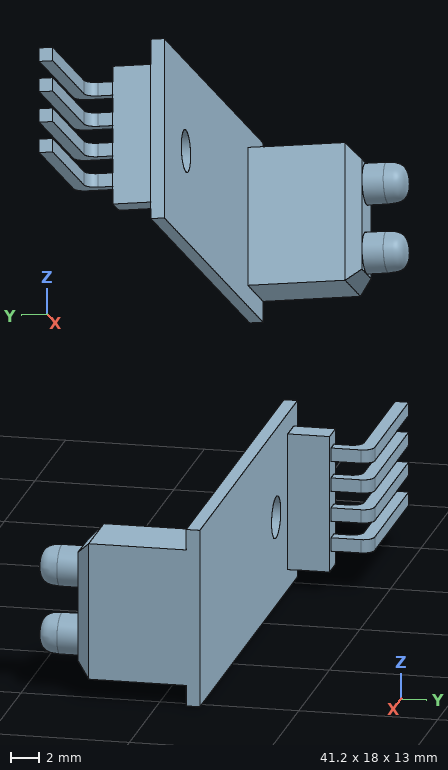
import cadquery as cq

BOARD_LENGTH = 32.0
BOARD_HEIGHT = 13.0
BOARD_THICKNESS = 1.0
HOLE_DIAMETER = 3.0
HOLE_FROM_LEFT = 7.0

HEADER_WIDTH = 2.0
HEADER_DEPTH = 3.0
HEADER_FROM_LEFT = 1.25
BLOCK_HEIGHT = 10.0

PIN_COUNT = 4
PIN_SIZE = 1.0
PIN_ROW_SPAN = 6.6
PIN_PITCH = PIN_ROW_SPAN / (PIN_COUNT - 1)
PIN_ROW_CENTER_Z = 0.2
PIN_RISE = 2.95
PIN_OVERHANG = 9.25
PIN_BEND_RADIUS = 0.82

HOUSING_WIDTH = 5.0
HOUSING_DEPTH = 8.0
HOUSING_CHAMFER = 1.0
LAMP_DIAMETER = 2.95
LAMP_LENGTH = 3.0
DOME_FULLNESS = 0.75
LAMP_SPACING = 5.0

header_back = BOARD_THICKNESS + HEADER_DEPTH
header_center_x = HEADER_FROM_LEFT + HEADER_WIDTH / 2
housing_center_x = BOARD_LENGTH - HOUSING_WIDTH / 2


def make_board():
    board = cq.Workplane("XY").box(
        BOARD_LENGTH, BOARD_THICKNESS, BOARD_HEIGHT, centered=(False, False, True)
    )
    hole = (
        cq.Workplane("XZ")
        .center(HOLE_FROM_LEFT, 0)
        .circle(HOLE_DIAMETER / 2)
        .extrude(-BOARD_THICKNESS)
    )
    return board.cut(hole)


def make_header():
    return (
        cq.Workplane("XY")
        .box(HEADER_WIDTH, HEADER_DEPTH, BLOCK_HEIGHT, centered=(True, False, True))
        .translate((header_center_x, BOARD_THICKNESS, 0))
    )


def make_pin(center_z):
    """L-shaped pin that leaves the header backward and turns toward -X."""
    right = header_center_x + PIN_SIZE / 2
    left = right - PIN_SIZE
    back = header_back + PIN_RISE
    margin = PIN_SIZE / 2
    bend_corners = cq.selectors.BoxSelector(
        (left - margin, back - PIN_SIZE - margin, center_z - margin),
        (right + margin, back + margin, center_z + margin),
    )
    return (
        cq.Workplane("XY", origin=(0, 0, center_z - PIN_SIZE / 2))
        .moveTo(right, header_back)
        .lineTo(right, back)
        .lineTo(-PIN_OVERHANG, back)
        .lineTo(-PIN_OVERHANG, back - PIN_SIZE)
        .lineTo(left, back - PIN_SIZE)
        .lineTo(left, header_back)
        .close()
        .extrude(PIN_SIZE)
        .edges(bend_corners)
        .edges("|Z")
        .fillet(PIN_BEND_RADIUS)
    )


def make_housing():
    return (
        cq.Workplane("XY")
        .box(HOUSING_WIDTH, HOUSING_DEPTH, BLOCK_HEIGHT)
        .faces("<Y")
        .chamfer(HOUSING_CHAMFER)
        .translate((housing_center_x, -HOUSING_DEPTH / 2, 0))
    )


def make_lamp(center_z):
    """Cylinder ending in a blunt dome, pointing toward -Y."""
    radius = LAMP_DIAMETER / 2
    straight = LAMP_LENGTH - radius
    handle = DOME_FULLNESS * radius
    return (
        cq.Workplane("XY", origin=(housing_center_x, -HOUSING_DEPTH, center_z))
        .lineTo(radius, 0)
        .lineTo(radius, -straight)
        .bezier([
            (radius, -straight),
            (radius, -straight - handle),
            (handle, -LAMP_LENGTH),
            (0, -LAMP_LENGTH),
        ])
        .close()
        .revolve(360, (0, 0), (0, 1))
    )


result = make_board().union(make_header()).union(make_housing())

for index in range(PIN_COUNT):
    row_offset = (index - (PIN_COUNT - 1) / 2) * PIN_PITCH
    result = result.union(make_pin(PIN_ROW_CENTER_Z + row_offset))

for side in (-1, 1):
    result = result.union(make_lamp(side * LAMP_SPACING / 2))